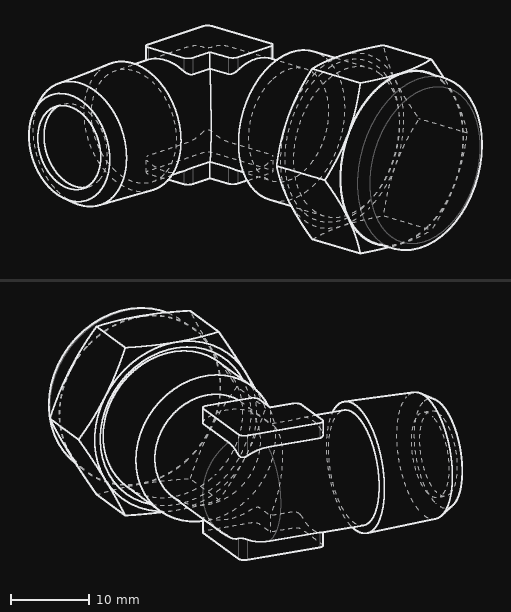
import cadquery as cq
import math

pipe_radius = 7.5

male_start = 14.0
male_lead_in = 0.25
male_taper_end = 24.05
male_end = 26.0
male_root_radius = 8.55
male_small_radius = 8.25
male_tip_radius = 7.1
recess_radius = 5.55
recess_depth = 1.15

collar_start = 14.0
collar_radius = 9.9
collar_cone_length = 0.55

nut_start = 23.4
nut_end = 33.95
nut_flats = 23.0
nut_corner_radius = nut_flats / math.sqrt(3)
nut_face_radius = nut_flats / 2
nut_chamfer_length = (nut_corner_radius - nut_face_radius) * math.tan(math.radians(30))
countersink_radius = 10.7
countersink_depth = countersink_radius - collar_radius

rim_end = 38.0
rim_radius = 11.4
rim_fillet = 1.1

pad_back = 3.8
pad_front = 8.15
pad_notch = 4.1
pad_height = 8.5
pad_corner_radius = 0.85


def turned_on_x(profile):
    """Revolve a list of (x, radius) points around the X axis."""
    return cq.Workplane("XY").polyline(profile).close().revolve(360, (0, 0, 0), (1, 0, 0))


def turned_on_y(profile):
    """Revolve a list of (radius, y) points around the Y axis."""
    return cq.Workplane("XY").polyline(profile).close().revolve(360, (0, 0, 0), (0, 1, 0))


def make_elbow():
    x_leg = cq.Workplane("YZ").circle(pipe_radius).extrude(nut_start)
    y_leg = cq.Workplane("XZ").circle(pipe_radius).extrude(male_start + male_lead_in)
    return x_leg.union(y_leg).union(cq.Workplane("XY").sphere(pipe_radius))


def rounded_block(x_max, y_min):
    """Block from the shared back corner of the pads to (x_max, y_min), with rounded upright edges."""
    return (
        cq.Workplane("XY", origin=((x_max - pad_back) / 2, (y_min + pad_back) / 2, 0))
        .rect(x_max + pad_back, pad_back - y_min)
        .extrude(pad_height, both=True)
        .edges("|Z")
        .fillet(pad_corner_radius)
    )


def make_pads():
    return rounded_block(pad_front, -pad_notch).union(rounded_block(pad_notch, -pad_front))


def make_male_end():
    body = turned_on_y([
        (0, -male_start),
        (pipe_radius, -male_start),
        (male_root_radius, -male_start - male_lead_in),
        (male_small_radius, -male_taper_end),
        (male_tip_radius, -male_end),
        (0, -male_end),
    ])
    recess = (
        cq.Workplane("XZ", origin=(0, -male_end, 0))
        .circle(recess_radius)
        .extrude(-recess_depth)
    )
    return body.cut(recess)


def make_collar():
    return turned_on_x([
        (collar_start, 0),
        (collar_start, pipe_radius),
        (collar_start + collar_cone_length, collar_radius),
        (nut_end, collar_radius),
        (nut_end, 0),
    ])


def make_nut():
    hexagon = (
        cq.Workplane("YZ", origin=(nut_start, 0, 0))
        .polygon(6, 2 * nut_corner_radius)
        .extrude(nut_end - nut_start)
    )
    envelope = turned_on_x([
        (nut_start, 0),
        (nut_start, nut_face_radius),
        (nut_start + nut_chamfer_length, nut_corner_radius),
        (nut_end - nut_chamfer_length, nut_corner_radius),
        (nut_end, nut_face_radius),
        (nut_end, 0),
    ])
    countersink = turned_on_x([
        (nut_start, 0),
        (nut_start, countersink_radius),
        (nut_start + countersink_depth, collar_radius),
        (nut_start + countersink_depth, 0),
    ])
    return hexagon.intersect(envelope).cut(countersink)


def make_rim():
    disc = cq.Workplane("YZ", origin=(nut_end, 0, 0)).circle(rim_radius).extrude(rim_end - nut_end)
    return disc.faces(">X").edges().fillet(rim_fillet)


result = make_elbow().union(make_pads()).union(make_male_end())
result = result.union(make_collar()).union(make_nut()).union(make_rim())